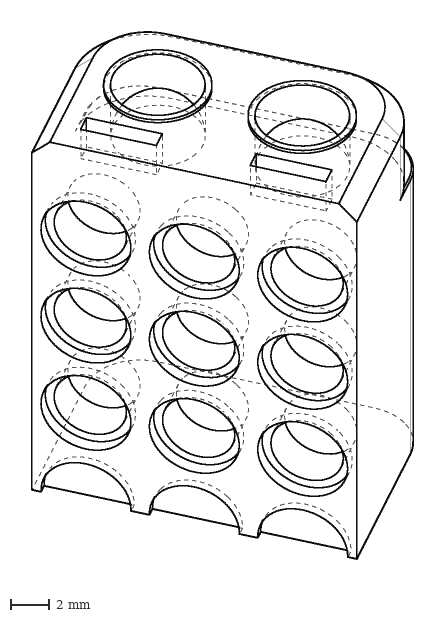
import cadquery as cq

total_height = 24.4
width = 18.0
depth = 12.0
collar_height = 0.2
body_height = total_height - collar_height

step_height = 18.95
step_setback = 0.7
lower_corner_radius = 3.0
upper_corner_radius = 4.0
top_chamfer = 1.0
ledge_chamfer = 0.1

socket_pitch = 6.0
socket_columns = 3
socket_rows = 4
bottom_row_height = 0.1
counterbore_radius = 2.5
counterbore_depth = 0.73
bottom_recess_depth = 0.51
bore_radius = 2.0
bore_depth = 3.0

well_spacing = 8.0
well_center_y = depth / 2
collar_radius = 2.85
well_radius = 2.5
well_depth = 3.5

slot_spacing = 9.4
slot_length = 4.2
slot_width = 1.0
slot_center_y = 2.0
slot_depth = 2.0


def rounded_block(block_depth, height, corner_radius):
    """Block with its front face on Y = 0 and its two rear vertical edges rounded."""
    block = cq.Workplane("XY").box(width, block_depth, height, centered=(True, False, False))
    return block.edges("|Z and >Y").fillet(corner_radius)


def make_body():
    """Full-depth lower block under a set-back upper block, both chamfered on the sides and rear."""
    upper = rounded_block(depth - step_setback, body_height, upper_corner_radius)
    upper = upper.faces(">Z").edges("not <Y").chamfer(top_chamfer)
    lower = rounded_block(depth, step_height, lower_corner_radius)
    lower = lower.faces(">Z").edges("not <Y").chamfer(ledge_chamfer)
    return lower.union(upper)


def front_cylinder(x, z, radius, length):
    """Cylinder running from the front face into the body."""
    axis = cq.Vector(0, 1, 0)
    return cq.Workplane(cq.Solid.makeCylinder(radius, length, cq.Vector(x, 0, z), axis))


def cut_sockets(body):
    """Counterbored blind sockets; the bottom row is only a shallow recess open below."""
    for row in range(socket_rows):
        z = bottom_row_height + row * socket_pitch
        for column in range(socket_columns):
            x = (column - (socket_columns - 1) / 2) * socket_pitch
            if row == 0:
                body = body.cut(front_cylinder(x, z, counterbore_radius, bottom_recess_depth))
            else:
                body = body.cut(front_cylinder(x, z, counterbore_radius, counterbore_depth))
                body = body.cut(front_cylinder(x, z, bore_radius, bore_depth))
    return body


def well_cutter():
    """Space between the well wall and the dome that rises from the well floor."""
    floor = total_height - well_depth
    profile = (
        cq.Workplane("XZ")
        .moveTo(0, total_height)
        .lineTo(well_radius, total_height)
        .lineTo(well_radius, floor)
        .radiusArc((0, floor + well_radius), -well_radius)
        .close()
    )
    return profile.revolve(axisStart=(0, 0, 0), axisEnd=(0, 1, 0))


def add_wells(body):
    """Low collars on the top face around the domed wells."""
    for x in (-well_spacing / 2, well_spacing / 2):
        collar = (
            cq.Workplane("XY", origin=(x, well_center_y, body_height))
            .circle(collar_radius)
            .extrude(collar_height)
        )
        body = body.union(collar).cut(well_cutter().translate((x, well_center_y, 0)))
    return body


def cut_slots(body):
    """Blind rectangular slots between the wells and the front face."""
    slots = (
        cq.Workplane("XY", origin=(0, slot_center_y, body_height))
        .pushPoints([(-slot_spacing / 2, 0), (slot_spacing / 2, 0)])
        .rect(slot_length, slot_width)
        .extrude(-slot_depth)
    )
    return body.cut(slots)


result = cut_slots(add_wells(cut_sockets(make_body())))